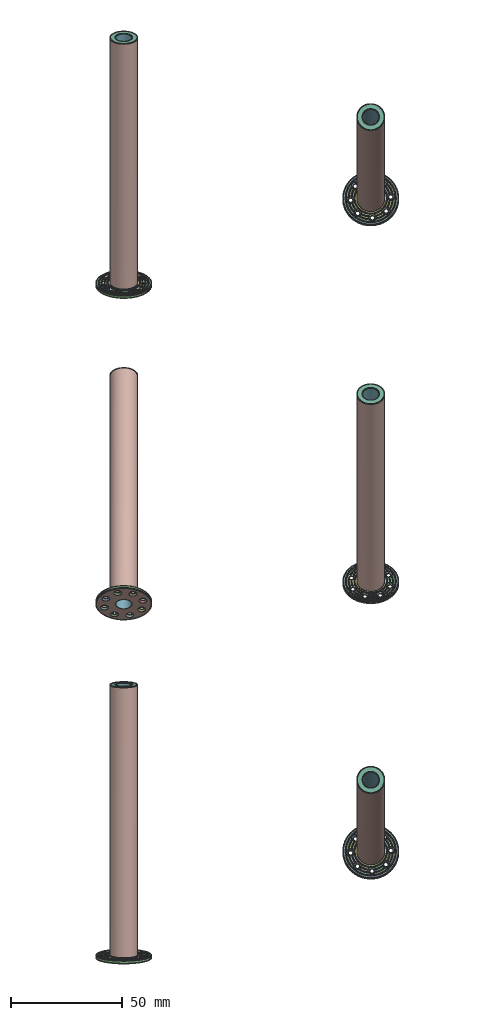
import cadquery as cq

LENGTH = 125.0
TUBE_DIAMETER = 12.5
BORE_DIAMETER = 7.2
RIM_CHAMFER = 0.2

FLANGE_DIAMETER = 25.0
FLANGE_CHAMFER = 0.31
FLANGE_STRAIGHT_HEIGHT = 0.94
FLANGE_THICKNESS = FLANGE_STRAIGHT_HEIGHT + 2 * FLANGE_CHAMFER

GROOVE_COUNT = 4
GROOVE_WIDTH = 0.5
GROOVE_DEPTH = 0.5
GROOVE_LAND = 0.81
GROOVE_PITCH = GROOVE_WIDTH + GROOVE_LAND
FIRST_GROOVE_RADIUS = 7.2

HOLE_COUNT = 8
HOLE_DIAMETER = 2.0
HOLE_CIRCLE_RADIUS = 9.0
COUNTERSINK_DEPTH = 0.8


def revolve_about_z(profile):
    """Turn a closed (radius, height) outline around the Z axis."""
    return cq.Workplane("XZ").polyline(profile).close().revolve(360, (0, 0, 0), (0, 1, 0))


def make_groove(radius):
    return revolve_about_z([
        (radius - GROOVE_WIDTH / 2, FLANGE_THICKNESS),
        (radius, FLANGE_THICKNESS - GROOVE_DEPTH),
        (radius + GROOVE_WIDTH / 2, FLANGE_THICKNESS),
    ])


def make_countersunk_hole():
    radius = HOLE_DIAMETER / 2
    mouth_radius = radius + COUNTERSINK_DEPTH
    hole = revolve_about_z([
        (0, 0),
        (mouth_radius, 0),
        (radius, COUNTERSINK_DEPTH),
        (radius, FLANGE_THICKNESS - COUNTERSINK_DEPTH),
        (mouth_radius, FLANGE_THICKNESS),
        (0, FLANGE_THICKNESS),
    ])
    return hole.translate((HOLE_CIRCLE_RADIUS, 0, 0))


def make_flange():
    flange = cq.Workplane("XY").circle(FLANGE_DIAMETER / 2).extrude(FLANGE_THICKNESS)
    flange = flange.edges().chamfer(FLANGE_CHAMFER)
    for index in range(GROOVE_COUNT):
        flange = flange.cut(make_groove(FIRST_GROOVE_RADIUS + index * GROOVE_PITCH))
    hole = make_countersunk_hole()
    for index in range(HOLE_COUNT):
        flange = flange.cut(hole.rotate((0, 0, 0), (0, 0, 1), index * 360 / HOLE_COUNT))
    return flange


tube = cq.Workplane("XY").circle(TUBE_DIAMETER / 2).extrude(LENGTH)
bore = cq.Workplane("XY").circle(BORE_DIAMETER / 2).extrude(LENGTH)
body = make_flange().union(tube).cut(bore)

result = body.faces(">Z").edges().chamfer(RIM_CHAMFER)